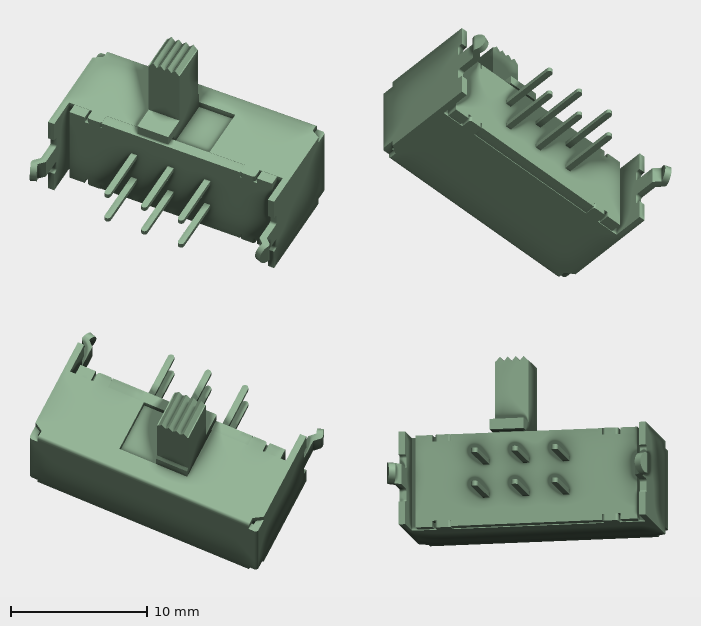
import cadquery as cq
import math


sheet = 0.5
shell_length = 18.52
shell_height = 6.96
half_length = shell_length / 2
inner_half_length = half_length - sheet
mid_height = shell_height / 2
cover_front = -6.06
end_plate_front = -8.52
back_bend_radius = 0.25

notch_half_length = 8.56
notch_short_side = 0.7
notch_long_side = 1.15

block_front = -6.9
lip_half_length = 8.3
lip_bottom = 0.05
lip_top = 6.95
block_mid_height = (lip_bottom + lip_top) / 2
block_corner_chamfer = 0.5

tab_inner = 5.67
tab_outer = 6.86
tab_tip_radius = 0.21
tab_slot_outer = 7.05

leg_width = 1.52
leg_relief_half_height = 1.75
leg_relief_back = -8.11
leg_relief_radius = 0.2
leg_knee_y = -10.37
leg_knee_radius = 0.33
leg_jog_angle = math.radians(45)
leg_tip_length = 0.72
leg_tip_angle = math.radians(21)
overall_length = 19.5

slot_half_length = 2.75
slot_back = -1.77
lever_width = 2.54
lever_top = 13.0
base_top = 7.98
base_chamfer = 0.2
stem_front = -5.01
base_front = -5.89
foot_bottom = 7.2
tooth_count = 4
tooth_margin = 0.08
tooth_pitch = (lever_width - 2 * tooth_margin) / tooth_count
tooth_height = 0.35

pin_pitch_x = 3.0
pin_pitch_z = 2.5
pin_width = 0.49
pin_thickness = 0.35
pin_end = -11.5


def box(x_limits, y_limits, z_limits):
    """Box between the given pairs of limits."""
    size = [abs(b - a) for a, b in (x_limits, y_limits, z_limits)]
    low = [min(pair) for pair in (x_limits, y_limits, z_limits)]
    return cq.Workplane("XY").box(*size, centered=False).translate(tuple(low))


def both_ends(solid):
    """The solid together with its mirror image across the middle of the length."""
    return solid.union(solid.mirror("YZ"))


def both_covers(solid):
    """The solid together with its mirror image across the middle height."""
    return solid.union(solid.mirror("XY", (0, 0, mid_height)))


def make_shell():
    span = (-half_length, half_length)
    inner_span = (-inner_half_length, inner_half_length)
    inner_height = (sheet, shell_height - sheet)
    shell = box(span, (0, end_plate_front), (0, shell_height))
    shell = shell.faces(">Y").edges().fillet(back_bend_radius)
    shell = shell.cut(box(inner_span, (-sheet, end_plate_front), inner_height))
    return shell.cut(box(inner_span, (cover_front, end_plate_front), (0, shell_height)))


def make_corner_notches():
    notch = (
        cq.Workplane("XY")
        .moveTo(notch_half_length, 0)
        .lineTo(half_length, 0)
        .lineTo(half_length, -notch_long_side)
        .lineTo(notch_half_length, -notch_short_side)
        .close()
        .extrude(sheet)
    )
    return both_covers(both_ends(notch))


def make_leg_reliefs():
    """Recesses in the front edges of the end plates, above and below each leg."""
    z_limits = (mid_height + leg_width / 2, mid_height + leg_relief_half_height)
    relief = box((inner_half_length, half_length), (leg_relief_back, end_plate_front), z_limits)
    relief = relief.edges(">Y and |X").fillet(leg_relief_radius)
    return both_covers(both_ends(relief))


def make_block():
    core_span = (-inner_half_length, inner_half_length)
    core = box(core_span, (-sheet, cover_front), (sheet, shell_height - sheet))
    core = core.edges(">Y and |Z").chamfer(block_corner_chamfer)
    lip_span = (-lip_half_length, lip_half_length)
    lip = box(lip_span, (cover_front, block_front), (lip_bottom, lip_top))
    tab_slot = box((tab_inner, tab_slot_outer), (cover_front, block_front), (0, sheet))
    return core.union(lip.cut(both_covers(both_ends(tab_slot))))


def make_tabs():
    tab = box((tab_inner, tab_outer), (cover_front, block_front), (0, sheet))
    tab = tab.edges("<Y and |Z").fillet(tab_tip_radius)
    return both_covers(both_ends(tab))


def make_legs():
    """Legs that run forward, jog outward at 45 degrees and end in a round inward tip."""
    half_turn = (leg_jog_angle + leg_tip_angle) / 2
    knee_tilt = (leg_jog_angle - leg_tip_angle) / 2
    corner_reach = sheet / math.cos(half_turn)
    rounded_centre_reach = (sheet - leg_knee_radius) / math.cos(half_turn)
    knee_x = overall_length / 2 - leg_knee_radius - rounded_centre_reach * math.cos(knee_tilt)
    corner_x = knee_x + corner_reach * math.cos(knee_tilt)
    corner_y = leg_knee_y + corner_reach * math.sin(knee_tilt)

    jog_slope = math.tan(leg_jog_angle)
    inner_jog_y = leg_knee_y + (knee_x - inner_half_length) * jog_slope
    outer_jog_y = corner_y + (corner_x - half_length) * jog_slope
    tip_sin = math.sin(leg_tip_angle)
    tip_cos = math.cos(leg_tip_angle)
    tip_x = knee_x - leg_tip_length * tip_sin
    tip_y = leg_knee_y - leg_tip_length * tip_cos
    leg = (
        cq.Workplane("XY")
        .moveTo(inner_half_length, leg_relief_back)
        .lineTo(inner_half_length, inner_jog_y)
        .lineTo(knee_x, leg_knee_y)
        .lineTo(tip_x, tip_y)
        .lineTo(tip_x + sheet * tip_cos, tip_y - sheet * tip_sin)
        .lineTo(corner_x, corner_y)
        .lineTo(half_length, outer_jog_y)
        .lineTo(half_length, leg_relief_back)
        .close()
        .extrude(leg_width)
        .translate((0, 0, mid_height - leg_width / 2))
        .edges(">X")
        .fillet(leg_knee_radius)
    )

    tip_plane = cq.Plane(
        origin=(knee_x, leg_knee_y, mid_height),
        xDir=(-tip_sin, -tip_cos, 0),
        normal=(tip_cos, -tip_sin, 0),
    )
    waste = (
        cq.Workplane(tip_plane)
        .moveTo(0, -leg_width / 2)
        .threePointArc((leg_tip_length, 0), (0, leg_width / 2))
        .lineTo(leg_width, leg_width / 2)
        .lineTo(leg_width, -leg_width / 2)
        .close()
        .extrude(sheet)
    )
    return both_ends(leg.cut(waste))


def make_lever_slot():
    slot_span = (-slot_half_length, slot_half_length)
    return box(slot_span, (slot_back, cover_front), (shell_height - sheet, shell_height))


def make_lever():
    floor = shell_height - sheet
    stem_back = slot_back - base_chamfer
    lever = (
        cq.Workplane("YZ")
        .moveTo(slot_back, floor)
        .lineTo(slot_back, base_top - base_chamfer)
        .lineTo(stem_back, base_top)
        .lineTo(stem_back, lever_top)
        .lineTo(stem_front, lever_top)
        .lineTo(stem_front, base_top)
        .lineTo(block_front, base_top)
        .lineTo(block_front, foot_bottom)
        .lineTo(base_front, foot_bottom)
        .lineTo(base_front, floor)
        .close()
        .extrude(lever_width)
        .translate((-slot_half_length, 0, 0))
    )
    return lever.cut(make_tooth_waste())


def make_tooth_waste():
    """Material removed above the ridged top of the lever."""
    lever_right = lever_width - slot_half_length
    valley_z = lever_top - tooth_height
    first_valley = -slot_half_length + tooth_margin
    outline = cq.Workplane("XZ").moveTo(-slot_half_length, valley_z).lineTo(first_valley, valley_z)
    for tooth in range(tooth_count):
        valley = first_valley + tooth * tooth_pitch
        outline = outline.lineTo(valley + tooth_pitch / 2, lever_top)
        outline = outline.lineTo(valley + tooth_pitch, valley_z)
    clear_z = lever_top + tooth_height
    outline = outline.lineTo(lever_right, valley_z).lineTo(lever_right, clear_z)
    return outline.lineTo(-slot_half_length, clear_z).close().extrude(-block_front)


def make_pin():
    half_width = pin_width / 2
    round_start = pin_end + half_width
    return (
        cq.Workplane("XY")
        .moveTo(-half_width, block_front)
        .lineTo(-half_width, round_start)
        .threePointArc((0, pin_end), (half_width, round_start))
        .lineTo(half_width, block_front)
        .close()
        .extrude(pin_thickness)
        .translate((0, 0, -pin_thickness / 2))
    )


result = make_shell().cut(make_leg_reliefs())
result = result.union(make_block()).union(make_tabs())
result = result.cut(make_corner_notches()).cut(make_lever_slot())
result = result.union(make_lever()).union(make_legs())
for column in (-1, 0, 1):
    for row in (-0.5, 0.5):
        position = (column * pin_pitch_x, 0, block_mid_height + row * pin_pitch_z)
        result = result.union(make_pin().translate(position))